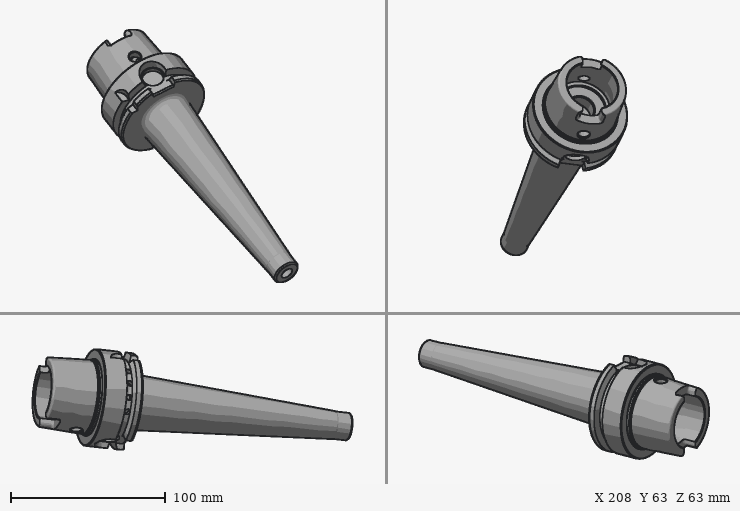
import cadquery as cq
import math


SHANK_LENGTH = 32.0
GAUGE_RADIUS = 24.0
GAUGE_OFFSET = 6.3
TAPER_SLOPE = 1 / 20
SHANK_LIP_RADIUS = 1.4
RELIEF_START = 2.7
RELIEF_RADIUS = 23.7
RELIEF_STEP = 0.6
RELIEF_LAND_RADIUS = 24.1
RELIEF_FACE_RADIUS = 25.2
RELIEF_FACE_DEPTH = 0.7
RELIEF_FACE_CHAMFER = 0.5

FLANGE_RADIUS = 31.5
FLANGE_WIDTH = 26.0
FLANGE_FRONT_CHAMFER = 0.6
FLANGE_REAR_CHAMFER_LENGTH = 1.2
FLANGE_REAR_CHAMFER_DEPTH = 0.7
GROOVE_CENTER = 18.1
GROOVE_FLOOR_WIDTH = 3.6
GROOVE_FLOOR_RADIUS = 27.1
GROOVE_FLANK_WIDTH = 1.5

TOTAL_LENGTH = 208.0
TIP_X = TOTAL_LENGTH - SHANK_LENGTH
TIP_RADIUS = 9.0
TIP_LENGTH = 10.0
TIP_CHAMFER = 1.0
NECK_ROOT_RADIUS = 18.0
NECK_END_RADIUS = 9.2
NECK_STEP = 0.7
NECK_FILLET = 5.0

MOUTH_RADIUS = 17.0
MOUTH_CHAMFER = 0.5
UNDERCUT_START_X = -19.6
UNDERCUT_FULL_X = -8.0
UNDERCUT_END_X = -4.0
UNDERCUT_RADIUS = 18.8
BORE_RADIUS = 16.2
BORE_FLOOR_X = -2.0
THREAD_RADIUS = 8.7
THREAD_CHAMFER = 0.7
THREAD_DEPTH = 10.0
COOLANT_RADIUS = 4.0

DRIVE_SLOT_HALF_WIDTH = 6.3
DRIVE_SLOT_EDGE_RADIUS = 2.8
DRIVE_SLOT_EDGE_Z = 18.2
DRIVE_SLOT_FLOOR_FILLET = 1.5
UPPER_SLOT_DEPTH = 5.7
LOWER_SLOT_DEPTH = 9.3

CROSS_HOLE_X = -9.3
CROSS_HOLE_RADIUS = 3.75
CROSS_HOLE_CHAMFER = 0.45

KEYWAY_CENTER_X = 12.7
KEYWAY_FLOOR_Z = 26.4
KEYWAY_HALF_WIDTH = 7.7
KEYWAY_DRAFT = 15.0
KEY_POCKET_RADIUS = 7.0
KEY_POCKET_DEPTH = 3.0

NOTCH_END_X = 12.7
NOTCH_Y = -20.0
NOTCH_Z = 19.6
NOTCH_CUTTER_RADIUS = 7.0

GROOVE_HOLE_ANGLES = [-35, -15, 5, 25]
GROOVE_HOLE_RADIUS = 1.8
GROOVE_HOLE_DEPTH = 4.0


def taper_radius(x):
    return GAUGE_RADIUS + (x + GAUGE_OFFSET) * TAPER_SLOPE


def opposite(cutter):
    return cutter.rotate((0, 0, 0), (1, 0, 0), 180)


def turned_body():
    mouth_x = -SHANK_LENGTH
    lip_x = mouth_x + SHANK_LIP_RADIUS
    lip_radius = taper_radius(lip_x)
    lip_mid = SHANK_LIP_RADIUS * (1 - math.sqrt(0.5))
    groove_left = GROOVE_CENTER - GROOVE_FLOOR_WIDTH / 2
    groove_right = GROOVE_CENTER + GROOVE_FLOOR_WIDTH / 2
    fillet_x = FLANGE_WIDTH + NECK_FILLET
    fillet_mid = NECK_FILLET * (1 - math.sqrt(0.5))
    return (
        cq.Workplane("XY")
        .moveTo(mouth_x, 0)
        .lineTo(mouth_x, lip_radius - SHANK_LIP_RADIUS)
        .threePointArc((mouth_x + lip_mid, lip_radius - lip_mid), (lip_x, lip_radius))
        .lineTo(-RELIEF_START, taper_radius(-RELIEF_START))
        .lineTo(-RELIEF_START + RELIEF_STEP, RELIEF_RADIUS)
        .lineTo(-RELIEF_START + 2 * RELIEF_STEP, RELIEF_RADIUS)
        .lineTo(-RELIEF_START + 3 * RELIEF_STEP, RELIEF_LAND_RADIUS)
        .lineTo(RELIEF_FACE_DEPTH, RELIEF_LAND_RADIUS)
        .lineTo(RELIEF_FACE_DEPTH, RELIEF_FACE_RADIUS - RELIEF_FACE_CHAMFER)
        .lineTo(0, RELIEF_FACE_RADIUS)
        .lineTo(0, FLANGE_RADIUS - FLANGE_FRONT_CHAMFER)
        .lineTo(FLANGE_FRONT_CHAMFER, FLANGE_RADIUS)
        .lineTo(groove_left - GROOVE_FLANK_WIDTH, FLANGE_RADIUS)
        .lineTo(groove_left, GROOVE_FLOOR_RADIUS)
        .lineTo(groove_right, GROOVE_FLOOR_RADIUS)
        .lineTo(groove_right + GROOVE_FLANK_WIDTH, FLANGE_RADIUS)
        .lineTo(FLANGE_WIDTH - FLANGE_REAR_CHAMFER_LENGTH, FLANGE_RADIUS)
        .lineTo(FLANGE_WIDTH, FLANGE_RADIUS - FLANGE_REAR_CHAMFER_DEPTH)
        .lineTo(FLANGE_WIDTH, NECK_ROOT_RADIUS + NECK_FILLET)
        .threePointArc(
            (FLANGE_WIDTH + fillet_mid, NECK_ROOT_RADIUS + fillet_mid),
            (fillet_x, NECK_ROOT_RADIUS),
        )
        .lineTo(TIP_X - TIP_LENGTH - NECK_STEP, NECK_END_RADIUS)
        .lineTo(TIP_X - TIP_LENGTH, TIP_RADIUS)
        .lineTo(TIP_X - TIP_CHAMFER, TIP_RADIUS)
        .lineTo(TIP_X, TIP_RADIUS - TIP_CHAMFER)
        .lineTo(TIP_X, 0)
        .close()
        .revolve(360, (0, 0, 0), (1, 0, 0))
    )


def bore_cutter():
    mouth_x = -SHANK_LENGTH
    return (
        cq.Workplane("XY")
        .moveTo(mouth_x, 0)
        .lineTo(mouth_x, MOUTH_RADIUS + MOUTH_CHAMFER)
        .lineTo(mouth_x + MOUTH_CHAMFER, MOUTH_RADIUS)
        .lineTo(UNDERCUT_START_X, MOUTH_RADIUS)
        .lineTo(UNDERCUT_FULL_X, UNDERCUT_RADIUS)
        .lineTo(UNDERCUT_END_X, UNDERCUT_RADIUS)
        .lineTo(UNDERCUT_END_X, BORE_RADIUS)
        .lineTo(BORE_FLOOR_X, BORE_RADIUS)
        .lineTo(BORE_FLOOR_X, THREAD_RADIUS + THREAD_CHAMFER)
        .lineTo(BORE_FLOOR_X + THREAD_CHAMFER, THREAD_RADIUS)
        .lineTo(BORE_FLOOR_X + THREAD_DEPTH, THREAD_RADIUS)
        .lineTo(BORE_FLOOR_X + THREAD_DEPTH, COOLANT_RADIUS)
        .lineTo(TIP_X, COOLANT_RADIUS)
        .lineTo(TIP_X, 0)
        .close()
        .revolve(360, (0, 0, 0), (1, 0, 0))
    )


def drive_slot_cutter(depth):
    """Slot open at the shank end on the +Z side, flared by rounded outer edges."""
    flare_y = DRIVE_SLOT_HALF_WIDTH + DRIVE_SLOT_EDGE_RADIUS
    flare_z = DRIVE_SLOT_EDGE_Z + DRIVE_SLOT_EDGE_RADIUS
    mid_y = flare_y - DRIVE_SLOT_EDGE_RADIUS * math.sqrt(0.5)
    mid_z = DRIVE_SLOT_EDGE_Z + DRIVE_SLOT_EDGE_RADIUS * math.sqrt(0.5)
    return (
        cq.Workplane("YZ", origin=(-SHANK_LENGTH, 0, 0))
        .moveTo(-DRIVE_SLOT_HALF_WIDTH, 0)
        .lineTo(-DRIVE_SLOT_HALF_WIDTH, DRIVE_SLOT_EDGE_Z)
        .threePointArc((-mid_y, mid_z), (-flare_y, flare_z))
        .lineTo(-flare_y, GAUGE_RADIUS)
        .lineTo(flare_y, GAUGE_RADIUS)
        .lineTo(flare_y, flare_z)
        .threePointArc((mid_y, mid_z), (DRIVE_SLOT_HALF_WIDTH, DRIVE_SLOT_EDGE_Z))
        .lineTo(DRIVE_SLOT_HALF_WIDTH, 0)
        .close()
        .extrude(depth)
        .faces(">X")
        .edges("not #Z")
        .fillet(DRIVE_SLOT_FLOOR_FILLET)
    )


def cross_hole_cutter():
    """Hole along Z through both shank walls, countersunk where it meets the outside."""
    rim_z = math.sqrt(taper_radius(CROSS_HOLE_X) ** 2 - CROSS_HOLE_RADIUS**2)
    hole = (
        cq.Workplane("XZ", origin=(CROSS_HOLE_X, 0, 0))
        .lineTo(CROSS_HOLE_RADIUS, 0)
        .lineTo(CROSS_HOLE_RADIUS, rim_z - CROSS_HOLE_CHAMFER)
        .lineTo(CROSS_HOLE_RADIUS + 2 * CROSS_HOLE_CHAMFER, rim_z + CROSS_HOLE_CHAMFER)
        .lineTo(0, rim_z + CROSS_HOLE_CHAMFER)
        .close()
        .revolve(360, (0, 0, 0), (0, 1, 0))
    )
    return hole.union(opposite(hole))


def keyway_cutter():
    """Round-ended keyway with drafted walls on the +Z side, open toward the nose."""
    past_rear_x = FLANGE_WIDTH + KEYWAY_HALF_WIDTH
    keyway = (
        cq.Workplane("XY", origin=(0, 0, KEYWAY_FLOOR_Z))
        .moveTo(past_rear_x, KEYWAY_HALF_WIDTH)
        .lineTo(KEYWAY_CENTER_X, KEYWAY_HALF_WIDTH)
        .threePointArc(
            (KEYWAY_CENTER_X - KEYWAY_HALF_WIDTH, 0),
            (KEYWAY_CENTER_X, -KEYWAY_HALF_WIDTH),
        )
        .lineTo(past_rear_x, -KEYWAY_HALF_WIDTH)
        .close()
        .extrude(FLANGE_RADIUS - KEYWAY_FLOOR_Z, taper=-KEYWAY_DRAFT)
    )
    pocket = (
        cq.Workplane("XY", origin=(KEYWAY_CENTER_X, 0, KEYWAY_FLOOR_Z - KEY_POCKET_DEPTH))
        .circle(KEY_POCKET_RADIUS)
        .extrude(FLANGE_RADIUS - KEYWAY_FLOOR_Z + KEY_POCKET_DEPTH)
    )
    rear_chamfer = (
        cq.Workplane("XZ", origin=(0, KEYWAY_HALF_WIDTH, 0))
        .moveTo(FLANGE_WIDTH - FLANGE_REAR_CHAMFER_LENGTH, KEYWAY_FLOOR_Z)
        .lineTo(FLANGE_WIDTH, KEYWAY_FLOOR_Z)
        .lineTo(FLANGE_WIDTH, KEYWAY_FLOOR_Z - FLANGE_REAR_CHAMFER_DEPTH)
        .close()
        .extrude(2 * KEYWAY_HALF_WIDTH)
    )
    return keyway.union(pocket).union(rear_chamfer)


def notch_cutter():
    """Corner notch milled parallel to Z, with a rounded end inside the flange."""
    height = FLANGE_RADIUS - NOTCH_Z
    length = FLANGE_WIDTH - NOTCH_END_X
    round_end = (
        cq.Workplane("XY", origin=(NOTCH_END_X, NOTCH_Y - NOTCH_CUTTER_RADIUS, NOTCH_Z))
        .circle(NOTCH_CUTTER_RADIUS)
        .extrude(height)
    )
    run_out = (
        cq.Workplane("XY", origin=(NOTCH_END_X, NOTCH_Y - NOTCH_CUTTER_RADIUS, NOTCH_Z))
        .box(length, 2 * NOTCH_CUTTER_RADIUS, height, centered=(False, True, False))
    )
    return round_end.union(run_out)


def groove_hole_cutter(angle):
    return (
        cq.Workplane("XZ", origin=(GROOVE_CENTER, -(GROOVE_FLOOR_RADIUS - GROOVE_HOLE_DEPTH), 0))
        .circle(GROOVE_HOLE_RADIUS)
        .extrude(FLANGE_RADIUS - GROOVE_FLOOR_RADIUS + GROOVE_HOLE_DEPTH)
        .rotate((0, 0, 0), (1, 0, 0), -angle)
    )


result = turned_body().cut(bore_cutter())
result = result.cut(drive_slot_cutter(UPPER_SLOT_DEPTH))
result = result.cut(opposite(drive_slot_cutter(LOWER_SLOT_DEPTH)))
result = result.cut(cross_hole_cutter())
result = result.cut(keyway_cutter())
result = result.cut(opposite(keyway_cutter()))
result = result.cut(notch_cutter())
for hole_angle in GROOVE_HOLE_ANGLES:
    result = result.cut(groove_hole_cutter(hole_angle))
result = result.solids()